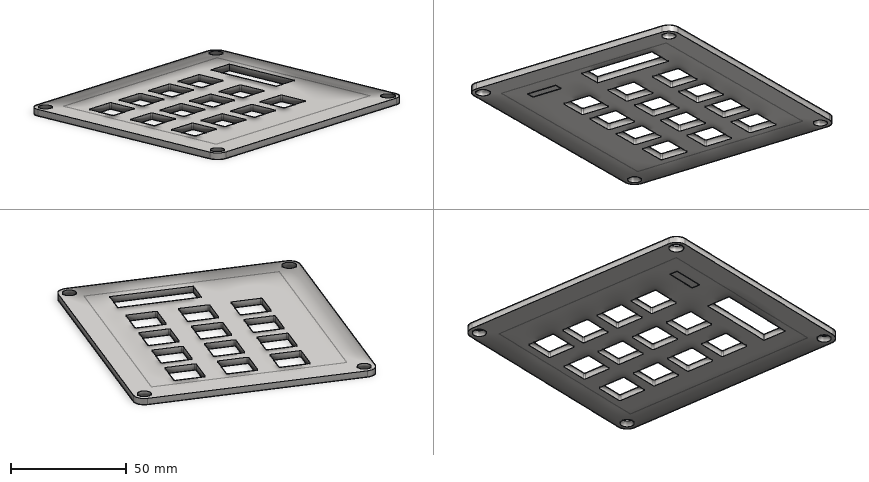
import cadquery as cq

plate_width = 109.1
plate_length = 120.8
total_height = 3.1
pad_height = 0.15
plate_thickness = total_height - pad_height
corner_radius = 5.0

hole_diameter = 6.0
wide_hole_diameter = 6.4
hole_x = plate_width / 2 - corner_radius
hole_y = plate_length / 2 - corner_radius

rim_left_top = 10.0
rim_right_bottom = 11.0
panel_width = plate_width - rim_left_top - rim_right_bottom
panel_length = plate_length - rim_left_top - rim_right_bottom
panel_center_x = (rim_left_top - rim_right_bottom) / 2
panel_center_y = (rim_right_bottom - rim_left_top) / 2

window_width = 37.7
window_length = 12.0
window_center_x = -15.2
window_center_y = 40.6

key_columns = 3
key_rows = 4
key_size = 14.1
key_corner_radius = 0.6
key_pitch_x = 23.7
key_pitch_y = 19.2
key_grid_center_x = -2.4
key_grid_center_y = -9.9

pad_width = 15.0
pad_length = 4.0
pad_center_x = 27.2
pad_center_y = 41.3


def block(width, length, height, center_x, center_y):
    """Rectangular block centred in plan, rising from the plate's underside (or hanging if negative)."""
    return (
        cq.Workplane("XY", origin=(center_x, center_y, 0))
        .rect(width, length)
        .extrude(height)
    )


def panel_blank():
    return block(panel_width, panel_length, plate_thickness, panel_center_x, panel_center_y)


def mounting_holes():
    plain_corners = [(-hole_x, -hole_y), (hole_x, -hole_y), (-hole_x, hole_y)]
    plain_holes = (
        cq.Workplane("XY")
        .pushPoints(plain_corners)
        .circle(hole_diameter / 2)
        .extrude(plate_thickness)
    )
    wide_hole = (
        cq.Workplane("XY")
        .center(hole_x, hole_y)
        .circle(wide_hole_diameter / 2)
        .extrude(plate_thickness)
    )
    return plain_holes.add(wide_hole).combine()


def display_window():
    return block(window_width, window_length, plate_thickness, window_center_x, window_center_y)


def key_openings():
    return (
        cq.Workplane("XY", origin=(key_grid_center_x, key_grid_center_y, 0))
        .rarray(key_pitch_x, key_pitch_y, key_columns, key_rows)
        .rect(key_size, key_size)
        .extrude(plate_thickness)
        .edges("|Z")
        .fillet(key_corner_radius)
    )


def rim():
    """Rounded outer frame with the mounting holes, open where the panel sits."""
    return (
        block(plate_width, plate_length, plate_thickness, 0, 0)
        .edges("|Z")
        .fillet(corner_radius)
        .cut(mounting_holes())
        .cut(panel_blank())
    )


def panel():
    """Panel with its display window, key openings and underside pad."""
    pad = block(pad_width, pad_length, -pad_height, pad_center_x, pad_center_y)
    return panel_blank().cut(display_window()).cut(key_openings()).union(pad)


result = rim().union(panel(), clean=False)